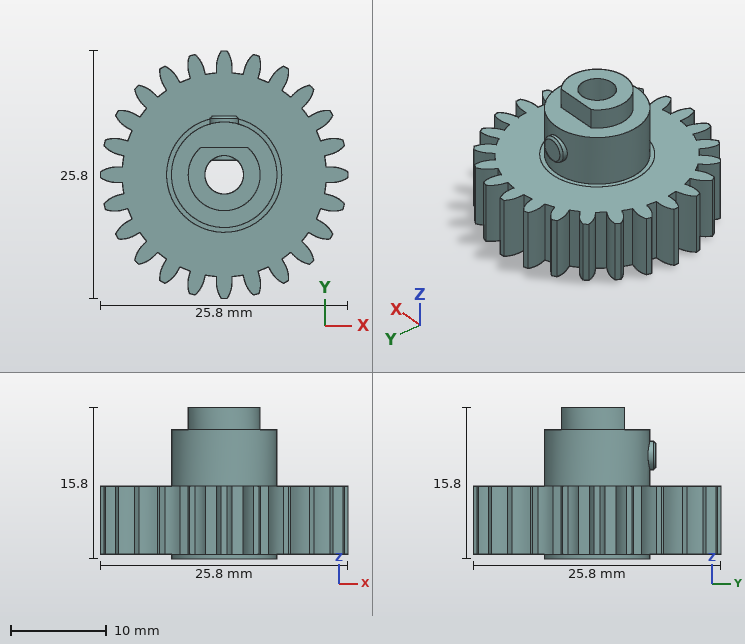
import cadquery as cq
import math

tooth_count = 24
tip_radius = 12.9
root_radius = 10.65
gear_bottom = 0.5
gear_width = 7.1
tooth_half_width = 0.82
tooth_tip_half_width = 0.31
flank_arc_start = 11.15
flank_arc_middle = 12.1
flank_middle_half_width = 0.69

hub_diameter = 11.0
seat_diameter = 12.0
bore_diameter = 4.0
hub_top = 13.5
overall_height = 15.8

boss_diameter = 7.5
boss_across_flat = 6.6
boss_flat_y = boss_across_flat - boss_diameter / 2

screw_diameter = 3.0
screw_chamfer = 0.25
screw_head_y = 6.1
screw_tip_y = 1.5
screw_length = screw_head_y - screw_tip_y
screw_z = hub_top - 2.7


def cylinder(diameter, bottom, height):
    """Upright cylinder on the Z axis."""
    return cq.Workplane("XY").workplane(offset=bottom).circle(diameter / 2).extrude(height)


def make_gear():
    """Toothed rim whose flanks start straight and curve in to the tip, bored to fit the hub seat."""
    pitch_angle = 2 * math.pi / tooth_count
    base_radial = math.sqrt(root_radius**2 - tooth_half_width**2)
    tip_radial = math.sqrt(tip_radius**2 - tooth_tip_half_width**2)

    def tooth_point(index, radial, sideways):
        """Point given along and across the centre line of one tooth."""
        angle = index * pitch_angle
        x = radial * math.cos(angle) - sideways * math.sin(angle)
        y = radial * math.sin(angle) + sideways * math.cos(angle)
        return (x, y)

    outline = (
        cq.Workplane("XY")
        .workplane(offset=gear_bottom)
        .moveTo(*tooth_point(0, base_radial, -tooth_half_width))
    )
    for i in range(tooth_count):
        outline = (
            outline
            .lineTo(*tooth_point(i, flank_arc_start, -tooth_half_width))
            .threePointArc(
                tooth_point(i, flank_arc_middle, -flank_middle_half_width),
                tooth_point(i, tip_radial, -tooth_tip_half_width),
            )
            .threePointArc(
                tooth_point(i, tip_radius, 0),
                tooth_point(i, tip_radial, tooth_tip_half_width),
            )
            .threePointArc(
                tooth_point(i, flank_arc_middle, flank_middle_half_width),
                tooth_point(i, flank_arc_start, tooth_half_width),
            )
            .lineTo(*tooth_point(i, base_radial, tooth_half_width))
            .threePointArc(
                tooth_point(i + 0.5, root_radius, 0),
                tooth_point(i + 1, base_radial, -tooth_half_width),
            )
        )
    rim = outline.close().extrude(gear_width)
    return rim.cut(cylinder(seat_diameter, gear_bottom, gear_width))


def make_boss():
    """Round boss with one flat facing +Y."""
    boss = cylinder(boss_diameter, hub_top, overall_height - hub_top)
    keep = (
        cq.Workplane("XY")
        .workplane(offset=hub_top)
        .center(0, boss_flat_y - boss_across_flat / 2)
        .rect(boss_diameter, boss_across_flat)
        .extrude(overall_height - hub_top)
    )
    return boss.intersect(keep)


def screw_shank():
    """Plain cylinder of the set screw, from its head end inwards."""
    head_plane = cq.Plane(origin=(0, screw_head_y, screw_z), xDir=(1, 0, 0), normal=(0, -1, 0))
    return cq.Workplane(head_plane).circle(screw_diameter / 2).extrude(screw_length)


def make_hub():
    """Stepped hub with a bore, a wider seat inside the gear and a set screw hole."""
    body = cylinder(hub_diameter, 0, hub_top)
    seat = cylinder(seat_diameter, gear_bottom, gear_width)
    bore = cylinder(bore_diameter, 0, overall_height)
    return body.union(seat).union(make_boss()).cut(bore).cut(screw_shank())


def make_set_screw():
    """Set screw with a chamfered outer end; its tip stands into the bore."""
    return screw_shank().faces(">Y").chamfer(screw_chamfer)


gear = make_gear()
hub = make_hub()
set_screw = make_set_screw()

result = cq.Compound.makeCompound([gear.val(), hub.val(), set_screw.val()])